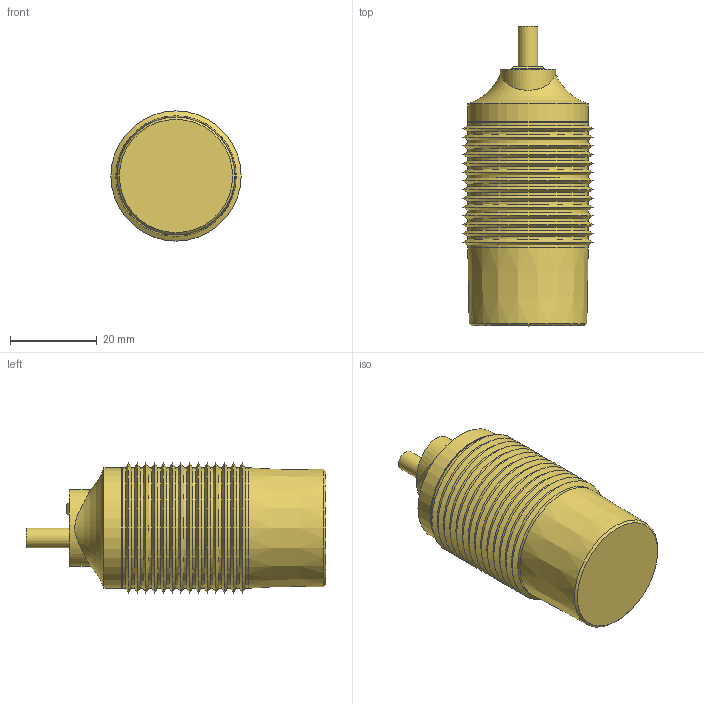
import cadquery as cq
import math


crest_radius = 15.0
ridge_height = 1.13
root_radius = crest_radius - ridge_height
ridge_half_width = ridge_height * math.tan(math.radians(30))
ridge_count = 14
ridge_pitch = 2.015
first_ridge_y = 19.3
thread_start_y = 17.95
shoulder_y = 51.15

ring_radius = 14.05
ring_width = 0.1
ring_y = 46.92

nose_radius = 13.55
nose_chamfer = 0.5

shoulder_mid_radius = 9.05
shoulder_mid_y = 54.05
shoulder_top_y = 57.9

boss_half_width = 6.43
boss_half_height = 8.83
boss_end_y = 59.1

window_width = 7.5
window_height = 3.1
window_depth = 0.6
window_chamfer = 0.5
window_z = 4.35

cable_radius = 2.28
cable_z = -2.3
cable_end_y = 69.1


def section_at(y, z=0.0):
    """Workplane normal to +Y at the given Y, with its origin on X = 0 at height z."""
    return cq.Workplane(cq.Plane(origin=(0, y, z), xDir=(1, 0, 0), normal=(0, 1, 0)))


def make_body():
    """Revolve the nose, ridges and concave shoulder about the Y axis."""
    profile = (
        cq.Workplane("XY")
        .moveTo(0, 0)
        .lineTo(nose_radius - nose_chamfer, 0)
        .lineTo(nose_radius, nose_chamfer)
        .lineTo(root_radius, thread_start_y)
    )
    for index in range(ridge_count):
        crest_y = first_ridge_y + index * ridge_pitch
        profile = (
            profile.lineTo(root_radius, crest_y - ridge_half_width)
            .lineTo(crest_radius, crest_y)
            .lineTo(root_radius, crest_y + ridge_half_width)
        )
    profile = (
        profile.lineTo(root_radius, shoulder_y)
        .threePointArc((shoulder_mid_radius, shoulder_mid_y), (boss_half_width, shoulder_top_y))
        .lineTo(0, shoulder_top_y)
        .close()
    )
    return profile.revolve(360, (0, 0), (0, 1))


def make_ring():
    """Hair-thin ring standing just proud of the body."""
    return section_at(ring_y).circle(ring_radius).extrude(ring_width)


def make_boss():
    """Elliptical boss rising from inside the body to the cable face."""
    return section_at(shoulder_y).ellipse(boss_half_width, boss_half_height).extrude(boss_end_y - shoulder_y)


def make_window():
    """Raised indicator window with chamfered outer edges."""
    block = section_at(boss_end_y, window_z).rect(window_width, window_height).extrude(window_depth)
    return block.faces(">Y").edges().chamfer(window_chamfer)


def make_cable():
    """Cable stub, offset below the body axis."""
    return section_at(boss_end_y, cable_z).circle(cable_radius).extrude(cable_end_y - boss_end_y)


result = (
    make_body()
    .union(make_ring())
    .union(make_boss())
    .union(make_window())
    .union(make_cable())
)